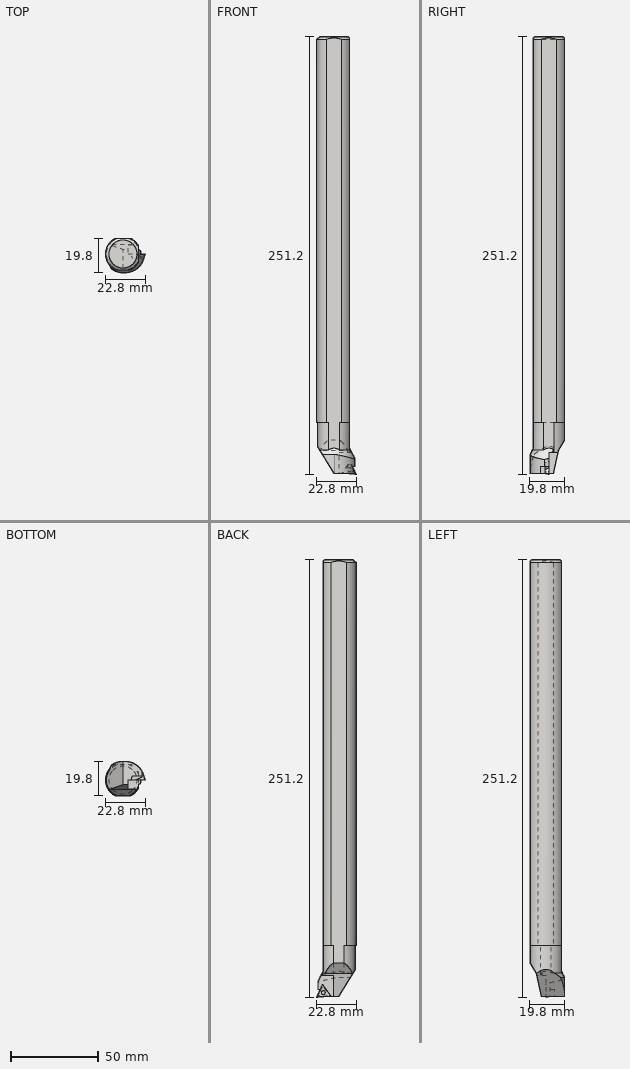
import cadquery as cq
import math

LENGTH = 251.2
SHANK_R = 10.0
NECK_R = 9.5
FLAT = 9.0
NECK_TOP = 30.0
END_CHAMFER_R = 2.0
END_CHAMFER_Z = 1.5

HEAD_R = 10.8
HEAD_EDGE_X = 0.3
BULGE_MID = (8.8, -7.8)
BULGE_END = (12.0, -2.5)
HEAD_BOTTOM = 0.5
CONE_TOP = 15.0
CONE_SLOPE = 2.0
BACK_X, BACK_Z = -NECK_R, 16.0
BACK_ANGLE = 31.5
NOSE_X = 11.0
NOSE_TOP = 4.5

TIP_X = 12.8
RAKE_Y = 0.0
INSERT_SIDE = 8.3
INSERT_THICKNESS = 2.3
INSERT_TILT = 5.0
INSERT_RELIEF = 11.0
INSERT_HOLE_D = 2.3

CHIP_PROFILE = [(9.3, 20.0), (5.5, 13.8), (2.5, 0.0)]
POCKET_WALL_X = 3.0
POCKET_TOP = 12.5
BIG = 30.2


def make_shank():
    end_r = SHANK_R - END_CHAMFER_R
    profile = [
        (0, HEAD_BOTTOM),
        (NECK_R, HEAD_BOTTOM),
        (NECK_R, NECK_TOP),
        (SHANK_R, NECK_TOP),
        (SHANK_R, LENGTH - END_CHAMFER_Z),
        (end_r, LENGTH),
        (0, LENGTH),
    ]
    blank = cq.Workplane("XZ").polyline(profile).close().revolve(360, (0, 0), (0, 1))
    flats = (
        cq.Workplane("XY")
        .center((FLAT - SHANK_R) / 2, 0)
        .rect(FLAT + SHANK_R, 2 * FLAT)
        .extrude(LENGTH)
    )
    return blank.intersect(flats)


def make_head():
    edge_y = -math.sqrt(HEAD_R**2 - HEAD_EDGE_X**2)
    bulge = (
        cq.Workplane("XY", origin=(0, 0, HEAD_BOTTOM))
        .moveTo(HEAD_EDGE_X, edge_y)
        .threePointArc(BULGE_MID, BULGE_END)
        .lineTo(BULGE_END[0], 0)
        .lineTo(0, HEAD_R)
        .threePointArc((-HEAD_R, 0), (HEAD_EDGE_X, edge_y))
        .close()
        .extrude(CONE_TOP - HEAD_BOTTOM)
    )
    cone_base_r = FLAT + (CONE_TOP - HEAD_BOTTOM) / CONE_SLOPE
    cone_profile = [(0, HEAD_BOTTOM), (cone_base_r, HEAD_BOTTOM), (FLAT, CONE_TOP), (0, CONE_TOP)]
    cone = cq.Workplane("XZ").polyline(cone_profile).close().revolve(360, (0, 0), (0, 1))
    return bulge.intersect(cone)


def make_back_cut():
    foot_x = BACK_X + BACK_Z * math.tan(math.radians(BACK_ANGLE))
    profile = [(BACK_X, BACK_Z), (foot_x, 0), (-BIG, 0), (-BIG, BACK_Z)]
    return cq.Workplane("XZ").polyline(profile).close().extrude(BIG, both=True)


def make_chip_cut():
    top, bottom = CHIP_PROFILE[0], CHIP_PROFILE[-1]
    profile = CHIP_PROFILE + [(BIG, bottom[1]), (BIG, top[1])]
    relief = cq.Workplane("YZ").polyline(profile).close().extrude(BIG, both=True)
    pocket = cq.Workplane("XY").box(BIG, BIG, POCKET_TOP, centered=False)
    return relief.union(pocket.translate((POCKET_WALL_X, RAKE_Y, 0)))


def make_nose_cut():
    nose = cq.Workplane("XY").box(BIG, 2 * BIG, NOSE_TOP, centered=(False, True, False))
    return nose.translate((NOSE_X, 0, 0))


def make_insert_blank():
    """Triangle narrowing away from its rake face."""
    points = [(TIP_X, 0.0)]
    for angle in (180 - INSERT_TILT, 120 - INSERT_TILT):
        turn = math.radians(angle)
        points.append((TIP_X + INSERT_SIDE * math.cos(turn), INSERT_SIDE * math.sin(turn)))
    plane = cq.Workplane("XZ", origin=(0, RAKE_Y, 0))
    blank = plane.polyline(points).close().extrude(INSERT_THICKNESS, taper=INSERT_RELIEF)
    center = (sum(x for x, z in points) / 3, sum(z for x, z in points) / 3)
    return blank, center


def make_insert():
    blank, center = make_insert_blank()
    hole = (
        cq.Workplane("XZ", origin=(0, RAKE_Y, 0))
        .center(*center)
        .circle(INSERT_HOLE_D / 2)
        .extrude(INSERT_THICKNESS)
    )
    return blank.cut(hole)


def make_bar():
    bar = make_shank().union(make_head())
    for cutter in (make_back_cut(), make_chip_cut(), make_nose_cut()):
        bar = bar.cut(cutter)
    insert_seat, _ = make_insert_blank()
    return bar.cut(insert_seat)


bar = make_bar()
insert = make_insert()

result = cq.Compound.makeCompound([bar.val(), insert.val()])